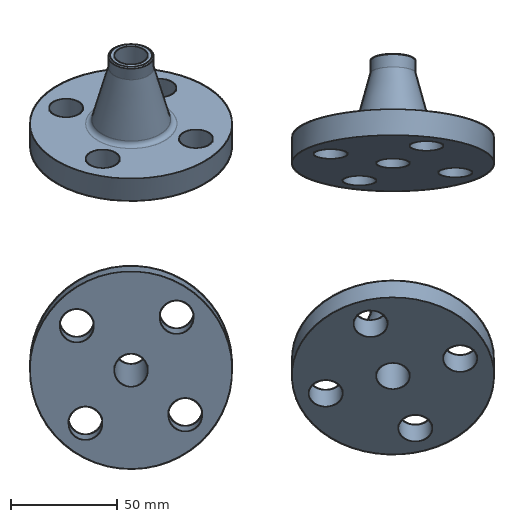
import cadquery as cq

flange_diameter = 95.2
flange_thickness = 12.7
bolt_circle_diameter = 66.7
bolt_hole_diameter = 16.0
bolt_hole_count = 4

total_height = 50.8
bore_diameter = 15.8
neck_diameter = 21.3
neck_length = 6.7
bevel_width = 0.9
bevel_height = 0.6

hub_base_diameter = 38.3
hub_fillet_radius = 3.0


def make_body():
    """Revolve the solid outline of the flange, hub and neck about Z."""
    neck_radius = neck_diameter / 2
    outline = [
        (0, 0),
        (flange_diameter / 2, 0),
        (flange_diameter / 2, flange_thickness),
        (hub_base_diameter / 2, flange_thickness),
        (neck_radius, total_height - neck_length),
        (neck_radius, total_height - bevel_height),
        (neck_radius - bevel_width, total_height),
        (0, total_height),
    ]
    return cq.Workplane("XZ").polyline(outline).close().revolve(360, (0, 0), (0, 1))


def fillet_hub(body):
    """Round the inside corner where the hub meets the flange face."""
    flange_face = body.faces("|Z").faces(">Z[-2]")
    hub_corner = flange_face.edges(cq.selectors.RadiusNthSelector(0))
    return hub_corner.fillet(hub_fillet_radius)


def cut_holes(body):
    """Cut the central bore and the ring of bolt holes right through."""
    bore = cq.Workplane("XY").circle(bore_diameter / 2).extrude(total_height)
    bolt_holes = (
        cq.Workplane("XY")
        .polarArray(bolt_circle_diameter / 2, 0, 360, bolt_hole_count)
        .circle(bolt_hole_diameter / 2)
        .extrude(flange_thickness)
    )
    return body.cut(bore).cut(bolt_holes)


result = cut_holes(fillet_hub(make_body()))